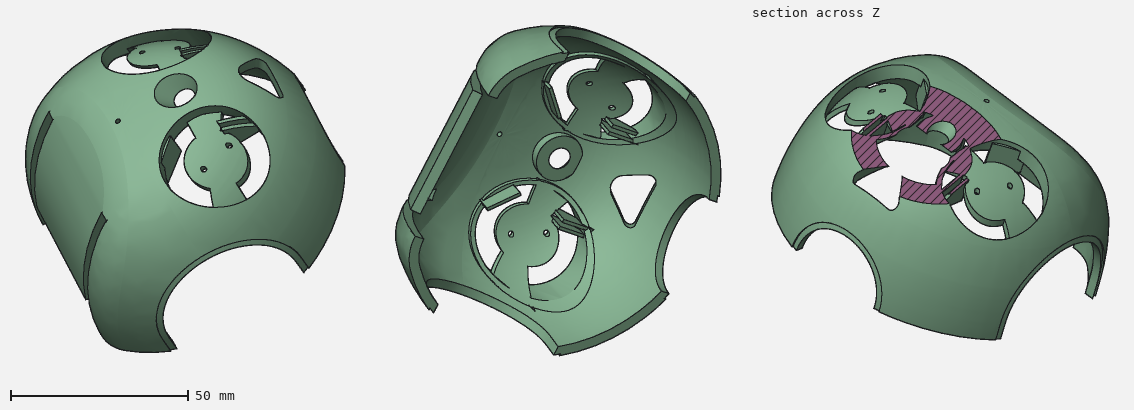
import cadquery as cq
import math

TILT = 24.5
WALL = 3.0

CROWN_Z = 42.5
SHOULDER_RADIUS = 32.9
SHOULDER_Z = 34.4
DOME_RADIUS = 48.4
DOME_FOOT_Z = -7.0
FRONT_FLATTENING = 0.97

BASE_Z = -5.1

FACE_RADIUS = 56.6
FACE_CENTRE_Y = 18.4
FACE_CENTRE_Z = -8.2
FACE_BLEND = 15.0

RIM_WIDTH = 1.85
RIM_STEP = 0.5
SIDE_ARCH_RADIUS = 20.9
REAR_ARCH_RADIUS = 15.0

FLAP_HALF_WIDTH = 19.6
SLOT_WIDTH = 3.45
SLOT_TOP_Z = 24.5
FLAP_BOTTOM_Z = -8.9
SLOT_BACK_Y = -15.0

EYE_X = 22.8
EYE_Y = 17.2
EYE_LONG = 15.6
EYE_SHORT = 12.8
EYE_TURN = 30.0
DISC_SCALE = 0.575
DISC_RECESS = 3.0
DISC_THICKNESS = 1.3
COLLAR_SCALE = 1.1
SPOKE_ROOT = 3.4
SPOKE_TIP = 10.0
SPOKE_REACH = 14.0
SPOKE_TURN = 13.0
PIN_RADIUS = 0.75
PIN_OFFSETS = [(2.2, 5.3), (-1.9, -4.0)]

FUNNEL_Y = 17.9
FUNNEL_TOP_RADIUS = 6.1
FUNNEL_HOLE_RADIUS = 3.2
FUNNEL_RIM_Z = 40.8
FUNNEL_DEPTH = 4.9
FUNNEL_BOSS_RADIUS = 7.0
INDICATOR_Y = -1.2
INDICATOR_RADIUS = 0.7

WINDOW_TIP_Y = 15.1
WINDOW_BACK_Y = 28.5
WINDOW_HALF_WIDTH = 9.95
WINDOW_TIP_ROUND = 4.2
WINDOW_BACK_ROUND = 1.8

RIB_THICKNESS = 1.0
BACK_RIB_X = (14.4, 16.7)
BACK_RIB_Y = (23.0, 37.0)
BACK_RIB_BOTTOM_Z = 27.0
FRONT_RIB_INNER = (12.4, 9.5)
FRONT_RIB_OUTER = (19.9, 2.1)
FRONT_RIB_BOTTOM_Z = 32.0

REACH = 120.0
EDGE_GAP = 0.5


def half_dome(inset):
    """Half of the revolved dome, its skin moved inward by the inset."""
    return (
        cq.Workplane("XZ")
        .moveTo(0, DOME_FOOT_Z)
        .lineTo(DOME_RADIUS - inset, DOME_FOOT_Z)
        .spline(
            [
                (SHOULDER_RADIUS - inset * math.sqrt(0.5), SHOULDER_Z - inset * math.sqrt(0.5)),
                (0, CROWN_Z - inset),
            ],
            tangents=[(0, 1), (-1, 0)],
            includeCurrent=True,
        )
        .close()
        .revolve(180, (0, 0, 0), (0, 1, 0))
    )


def dome(inset):
    """Round rear half joined to the flattened front half."""
    rear = half_dome(inset)
    flatten = cq.Matrix([[1, 0, 0, 0], [0, FRONT_FLATTENING, 0, 0], [0, 0, 1, 0]])
    front = rear.mirror("XZ").val().transformGeometry(flatten)
    return rear.union(cq.Workplane(obj=front))


def body(inset):
    """Dome trimmed by the front cylinder, with the edges between them rounded."""
    face = (
        cq.Workplane("YZ")
        .center(FACE_CENTRE_Y, FACE_CENTRE_Z)
        .circle(FACE_RADIUS - inset)
        .extrude(REACH, both=True)
    )
    solid = dome(inset).intersect(face)
    front = cq.selectors.BoxSelector((-REACH, -REACH, DOME_FOOT_Z + EDGE_GAP), (REACH, -EDGE_GAP, REACH))
    seams = solid.edges(front).edges("%BSPLINE or %OTHER")
    return seams.fillet(FACE_BLEND - inset)


def tipped(solid):
    """The solid turned from upright to the final forward tilt."""
    return solid.rotate((0, 0, 0), (1, 0, 0), TILT)


def arch(plane, centre_z, radius):
    """Outline with straight legs under a half circle."""
    return (
        cq.Workplane(plane)
        .moveTo(-radius, -REACH)
        .lineTo(-radius, centre_z)
        .threePointArc((0, centre_z + radius), (radius, centre_z))
        .lineTo(radius, -REACH)
        .close()
    )


def side_arch(radius):
    """Prism along X with a round top and straight legs."""
    return arch("YZ", 0, radius).extrude(REACH, both=True)


def rear_arch(radius):
    """Prism toward +Y with a round top centred on the bottom plane."""
    return arch("XZ", BASE_Z, radius).extrude(-REACH)


def eye_prism(side, scale):
    """Upright oval prism on an eye; side is -1 for the right eye and +1 for the left."""
    return (
        cq.Workplane("XY")
        .ellipse(EYE_SHORT * scale, EYE_LONG * scale)
        .extrude(REACH)
        .rotate((0, 0, 0), (0, 0, 1), side * EYE_TURN)
        .translate((side * EYE_X, EYE_Y, 0))
    )


def spokes(side):
    """Plan of two opposite spokes as a prism, widening away from the disc centre."""
    plan = (
        cq.Workplane("XY")
        .moveTo(-SPOKE_REACH, -SPOKE_TIP / 2)
        .lineTo(0, -SPOKE_ROOT / 2)
        .lineTo(SPOKE_REACH, -SPOKE_TIP / 2)
        .lineTo(SPOKE_REACH, SPOKE_TIP / 2)
        .lineTo(0, SPOKE_ROOT / 2)
        .lineTo(-SPOKE_REACH, SPOKE_TIP / 2)
        .close()
        .extrude(REACH)
    )
    turned = plan.rotate((0, 0, 0), (0, 0, 1), -side * SPOKE_TURN)
    return turned.translate((side * EYE_X, EYE_Y, 0))


def upright_hole(x, y, radius):
    """Cylinder along Z that starts at the axis of the side arches."""
    return cq.Workplane("XY").center(x, y).circle(radius).extrude(REACH)


def eye_disc(side, disc_layer):
    """Recessed disc with its spokes and pin holes."""
    disc = eye_prism(side, DISC_SCALE).union(spokes(side))
    for dx, dy in PIN_OFFSETS:
        disc = disc.cut(upright_hole(side * (EYE_X - dx), EYE_Y + dy, PIN_RADIUS))
    return disc.intersect(disc_layer)


def funnel():
    """Conical sink with a straight hole through its floor."""
    slope = (FUNNEL_TOP_RADIUS - FUNNEL_HOLE_RADIUS) / FUNNEL_DEPTH
    floor_z = FUNNEL_RIM_Z - FUNNEL_DEPTH
    height = 2 * FUNNEL_DEPTH
    cone = cq.Solid.makeCone(
        FUNNEL_HOLE_RADIUS,
        FUNNEL_HOLE_RADIUS + slope * height,
        height,
        cq.Vector(0, FUNNEL_Y, floor_z),
        cq.Vector(0, 0, 1),
    )
    return upright_hole(0, FUNNEL_Y, FUNNEL_HOLE_RADIUS).union(cq.Workplane(obj=cone))


def funnel_boss(outer):
    """Thick pad under the skin that holds the funnel."""
    floor_z = FUNNEL_RIM_Z - FUNNEL_DEPTH
    pad = upright_hole(0, FUNNEL_Y, FUNNEL_BOSS_RADIUS).translate((0, 0, floor_z))
    return pad.intersect(outer)


def window():
    """Triangular prism with rounded corners, pointing toward the front."""
    return (
        cq.Workplane("XY")
        .moveTo(-WINDOW_HALF_WIDTH, WINDOW_BACK_Y)
        .lineTo(WINDOW_HALF_WIDTH, WINDOW_BACK_Y)
        .lineTo(0, WINDOW_TIP_Y)
        .close()
        .extrude(REACH)
        .edges("|Z and <Y")
        .fillet(WINDOW_TIP_ROUND)
        .edges("|Z and >Y")
        .fillet(WINDOW_BACK_ROUND)
    )


def wall_between(start, end, bottom_z):
    """Upright rib between two plan points, from its bottom height upward."""
    run = (end[0] - start[0], end[1] - start[1])
    return (
        cq.Workplane("XY")
        .rect(math.hypot(*run), RIB_THICKNESS)
        .extrude(REACH)
        .rotate((0, 0, 0), (0, 0, 1), math.degrees(math.atan2(run[1], run[0])))
        .translate(((start[0] + end[0]) / 2, (start[1] + end[1]) / 2, bottom_z))
    )


def ribs():
    """All ribs on both sides, before they are trimmed to the skin."""
    left = wall_between(FRONT_RIB_INNER, FRONT_RIB_OUTER, FRONT_RIB_BOTTOM_Z)
    for x in BACK_RIB_X:
        left = left.union(wall_between((x, BACK_RIB_Y[0]), (x, BACK_RIB_Y[1]), BACK_RIB_BOTTOM_Z))
    return left.union(left.mirror("YZ"))


def flap_gap():
    """Two slots beside the front flap and the gap under it, in the tipped position."""
    opening = 2 * (FLAP_HALF_WIDTH + SLOT_WIDTH)
    gap = (
        cq.Workplane("XY")
        .box(opening, REACH, REACH, centered=(True, False, False))
        .translate((0, SLOT_BACK_Y - REACH, SLOT_TOP_Z - REACH))
    )
    flap = (
        cq.Workplane("XY")
        .box(2 * FLAP_HALF_WIDTH, REACH, REACH, centered=(True, False, False))
        .translate((0, SLOT_BACK_Y - REACH, FLAP_BOTTOM_Z))
    )
    return gap.cut(flap)


def shell():
    """Complete part in the upright position, without the flap slots and the window."""
    outer = body(0)
    below_step = body(RIM_STEP)
    inside_skin = half_dome(WALL / 2)
    disc_bottom = half_dome(DISC_RECESS + DISC_THICKNESS)
    disc_layer = half_dome(DISC_RECESS).cut(disc_bottom)
    collar_layer = inside_skin.cut(disc_bottom)

    below_base = cq.Workplane("XY").box(REACH, REACH, REACH).translate((0, 0, BASE_Z - REACH / 2))
    rim_steps = side_arch(SIDE_ARCH_RADIUS + RIM_WIDTH).union(rear_arch(REAR_ARCH_RADIUS + RIM_WIDTH))
    eyes = eye_prism(-1, 1).union(eye_prism(1, 1))
    openings = below_base.union(side_arch(SIDE_ARCH_RADIUS)).union(rear_arch(REAR_ARCH_RADIUS))
    openings = openings.union(funnel()).union(upright_hole(0, INDICATOR_Y, INDICATOR_RADIUS))

    hollow = outer.cut(body(WALL)).cut(rim_steps.cut(below_step))
    part = hollow.union(funnel_boss(outer))
    for side in (-1, 1):
        part = part.union(eye_prism(side, COLLAR_SCALE).intersect(collar_layer))
    part = part.cut(eyes)
    inner_parts = ribs().intersect(inside_skin)
    for side in (-1, 1):
        inner_parts = inner_parts.union(eye_disc(side, disc_layer))
    part = part.union(inner_parts)
    return part.cut(openings)


result = tipped(shell()).cut(flap_gap().union(window()))